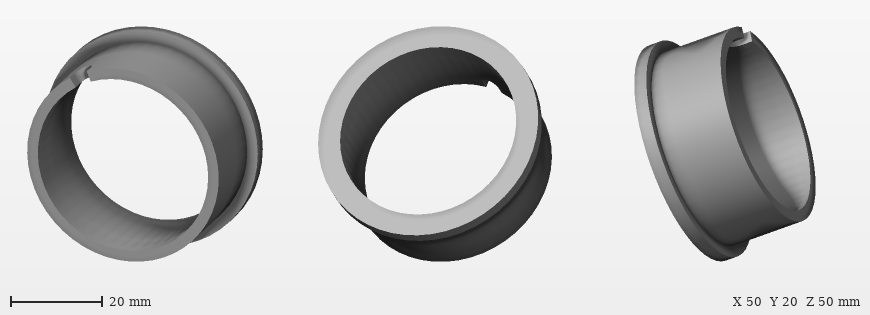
import cadquery as cq

flange_diameter = 50.0
sleeve_diameter = 45.0
bore_diameter = 40.0
total_length = 20.0
flange_thickness = 3.0

notch_depth = 5.0
notch_round_length = notch_depth / 2
notch_angle = 28.0
notch_outer_width = 5.0
notch_outer_height = flange_diameter / 2
notch_inner_height = bore_diameter / 4


def cylinder(diameter, start_y, length):
    """Solid cylinder along +Y, starting at start_y."""
    base = cq.Workplane("XZ", origin=(0, start_y, 0))
    return base.circle(diameter / 2).extrude(-length)


def make_body():
    """Sleeve with its end flange, bored right through."""
    sleeve = cylinder(sleeve_diameter, 0, total_length)
    flange = cylinder(flange_diameter, total_length - flange_thickness, flange_thickness)
    return sleeve.union(flange).cut(cylinder(bore_diameter, 0, total_length))


def notch_section(height):
    """Closed notch outline, square to the notch direction, at a distance from the axis."""
    half_width = notch_outer_width / 2 * height / notch_outer_height
    straight_length = notch_depth - notch_round_length
    outline = (
        cq.Workplane("XY", origin=(0, 0, height))
        .moveTo(-half_width, 0)
        .lineTo(half_width, 0)
        .lineTo(half_width, straight_length)
        .ellipseArc(half_width, notch_round_length, 0, 180, startAtCurrent=True)
        .close()
    )
    return outline.val()


def make_notch():
    """Wedge-shaped cutter through one side of the wall, open at the free end."""
    sections = [notch_section(notch_inner_height), notch_section(notch_outer_height)]
    cutter = cq.Workplane(cq.Solid.makeLoft(sections, True))
    return cutter.rotate((0, 0, 0), (0, 1, 0), -notch_angle)


result = make_body().cut(make_notch())